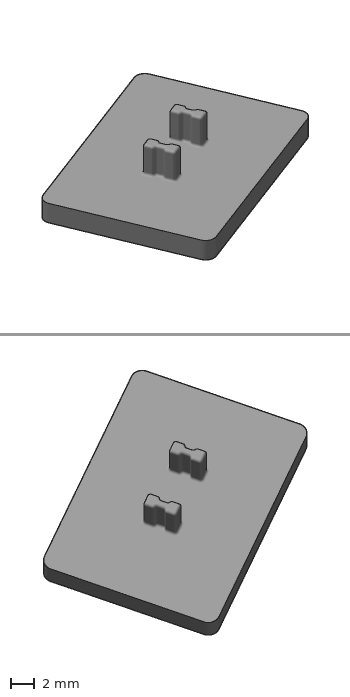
import cadquery as cq
import math

plate_width = 16.05
plate_length = 21.55
plate_thickness = 2.0
plate_corner_radius = 1.0

total_height = 5.0
peg_width = 3.04
peg_depth = 1.27
peg_spacing = 5.73
peg_corner_radius = 0.24
waist_depth = 0.71
waist_flat_width = 0.5
shoulder_radius = 0.24
edge_radius = 0.24
selection_margin = 0.02

peg_height = total_height - plate_thickness


def make_peg():
    """Peg standing on Z = 0: a rounded rectangle pinched by a tangent S-curve on each long side."""
    half_width = peg_width / 2
    half_depth = peg_depth / 2
    half_waist = waist_depth / 2
    waist_end = waist_flat_width / 2

    turn = math.acos(1 - (half_depth - half_waist) / (2 * shoulder_radius))
    arc_run = shoulder_radius * math.sin(turn)
    meeting = (waist_end + arc_run, (half_depth + half_waist) / 2)
    shoulder = (waist_end + 2 * arc_run, half_depth)

    quarter_bulge = peg_corner_radius * (1 - math.sqrt(0.5))
    corner_start = (half_width - peg_corner_radius, half_depth)
    corner_middle = (half_width - quarter_bulge, half_depth - quarter_bulge)
    corner_end = (half_width, half_depth - peg_corner_radius)

    quadrant = (
        cq.Workplane("XY")
        .moveTo(0, 0)
        .lineTo(0, half_waist)
        .lineTo(waist_end, half_waist)
        .tangentArcPoint(meeting, relative=False)
        .tangentArcPoint(shoulder, relative=False)
        .lineTo(*corner_start)
        .threePointArc(corner_middle, corner_end)
        .lineTo(half_width, 0)
        .close()
        .extrude(peg_height)
    )
    half = quadrant.union(quadrant.mirror("YZ"))
    return half.union(half.mirror("XZ")).clean()


def make_plate():
    """Flat plate resting on Z = 0 with rounded vertical corners."""
    return (
        cq.Workplane("XY")
        .box(plate_width, plate_length, plate_thickness, centered=(True, True, False))
        .edges("|Z")
        .fillet(plate_corner_radius)
    )


def round_peg_edges(part):
    """Round the rims of the peg tops, then blend the peg feet into the plate."""
    foot_region = cq.selectors.BoxSelector(
        (-peg_width, -peg_spacing, plate_thickness - selection_margin),
        (peg_width, peg_spacing, plate_thickness + selection_margin),
    )
    part = part.faces(">Z").edges().fillet(edge_radius)
    return part.edges(foot_region).fillet(edge_radius)


peg = make_peg()
result = make_plate()
for side in (-1, 1):
    result = result.union(peg.translate((0, side * peg_spacing / 2, plate_thickness)))
result = round_peg_edges(result)